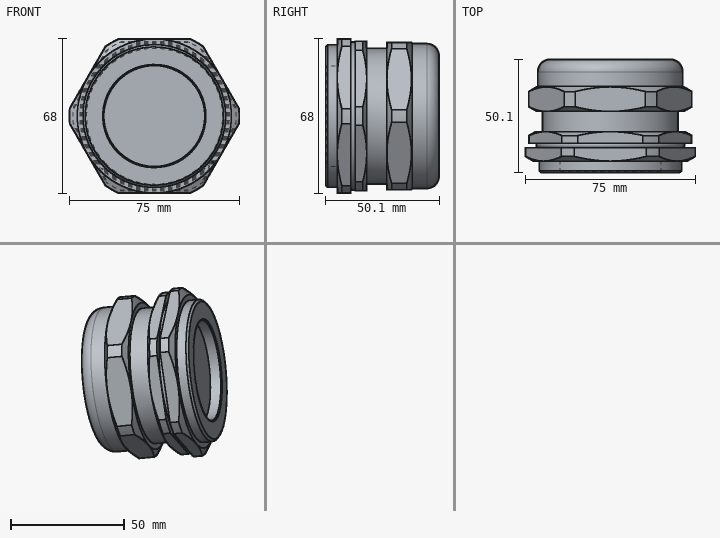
import cadquery as cq
import math


total_length = 50.08
flange_front = 5.2
flange_back = 11.15
nut_front = 13.0
nut_back = 18.15
cap_hex_front = 27.1
cap_hex_back = 38.15

thread_diameter = 63.0
thread_end_diameter = 61.0
thread_chamfer_length = 1.0
body_diameter = 60.0
cap_diameter = 64.0
cap_edge_radius = 5.5

bore_diameter = 44.5
bore_depth = 5.2
bore_chamfer = 0.5

seal_outer_diameter = 65.6
seal_section_radius = 1.4
seal_centre = flange_back + 1.2
seal_trim_margin = 1.0

flange_flats = 68.0
flange_corners = 75.0
nut_flats = 66.0
nut_corners = 72.0
cap_hex_flats = 65.0
cap_hex_corners = 72.0
corner_chamfer_angle = 30.0
hexagon_sides = 6
hexagon_half_angle = math.pi / hexagon_sides


def plane_at(y):
    """Plane across the axis at station y, facing +Y, with its local x along -X."""
    return cq.Workplane(cq.Plane(origin=(0, y, 0), xDir=(-1, 0, 0), normal=(0, 1, 0)))


def cylinder(diameter, y_start, y_end):
    return plane_at(y_start).circle(diameter / 2).extrude(y_end - y_start)


def revolve_about_axis(profile):
    """Revolve an XY profile, drawn at radius X and station Y, about the Y axis."""
    return profile.revolve(360, (0, 0, 0), (0, 1, 0))


def chamfer_length(corners, face_diameter):
    """Axial length of a corner chamfer; zero where the face is left square."""
    return (corners - face_diameter) / 2 * math.tan(math.radians(corner_chamfer_angle))


def hexagon(flats, corners, y_start, y_end, start_face, end_face):
    """Hexagon with corners on X, trimmed by a turned blank with conical ends."""
    across_points = flats / math.cos(hexagon_half_angle)
    prism = plane_at(y_start).polygon(hexagon_sides, across_points).extrude(y_end - y_start)
    rim_start = y_start + chamfer_length(corners, start_face)
    rim_end = y_end - chamfer_length(corners, end_face)
    profile = cq.Workplane("XY").moveTo(0, y_start).lineTo(start_face / 2, y_start)
    if rim_start > y_start:
        profile = profile.lineTo(corners / 2, rim_start)
    profile = profile.lineTo(corners / 2, rim_end)
    if rim_end < y_end:
        profile = profile.lineTo(end_face / 2, y_end)
    blank = revolve_about_axis(profile.lineTo(0, y_end).close())
    return prism.intersect(blank)


def thread_end():
    """Plain thread cylinder with a chamfered end, running back to the nut."""
    profile = (
        cq.Workplane("XY")
        .lineTo(thread_end_diameter / 2, 0)
        .lineTo(thread_diameter / 2, thread_chamfer_length)
        .lineTo(thread_diameter / 2, nut_front)
        .lineTo(0, nut_front)
        .close()
    )
    return revolve_about_axis(profile)


def seal_ring():
    """Round-section ring, trimmed to the gap between the flange and the nut."""
    ring_radius = seal_outer_diameter / 2 - seal_section_radius
    section_plane = cq.Plane(origin=(ring_radius, seal_centre, 0), xDir=(-1, 0, 0), normal=(0, 0, -1))
    section = cq.Workplane(section_plane).circle(seal_section_radius)
    ring = section.revolve(360, (ring_radius, 0, 0), (ring_radius, 1, 0))
    return ring.intersect(cylinder(seal_outer_diameter + seal_trim_margin, flange_back, nut_front))


def cap():
    """Domed cap: a cylinder with a rounded closed end."""
    blank = cylinder(cap_diameter, cap_hex_front, total_length)
    return blank.faces(">Y").edges().fillet(cap_edge_radius)


def bore():
    """Blind bore with a chamfered mouth."""
    radius = bore_diameter / 2
    profile = (
        cq.Workplane("XY")
        .lineTo(radius + bore_chamfer, 0)
        .lineTo(radius, bore_chamfer)
        .lineTo(radius, bore_depth)
        .lineTo(0, bore_depth)
        .close()
    )
    return revolve_about_axis(profile)


flange = hexagon(
    flange_flats, flange_corners, flange_front, flange_back, flange_flats, flange_corners
)
nut = hexagon(nut_flats, nut_corners, nut_front, nut_back, nut_corners, nut_flats)
cap_hex = hexagon(
    cap_hex_flats, cap_hex_corners, cap_hex_front, cap_hex_back, cap_hex_flats, cap_diameter
)
body = cylinder(body_diameter, nut_front, cap_hex_back)

result = (
    thread_end()
    .union(flange)
    .union(seal_ring())
    .union(nut)
    .union(body)
    .union(cap_hex)
    .union(cap())
    .cut(bore())
)